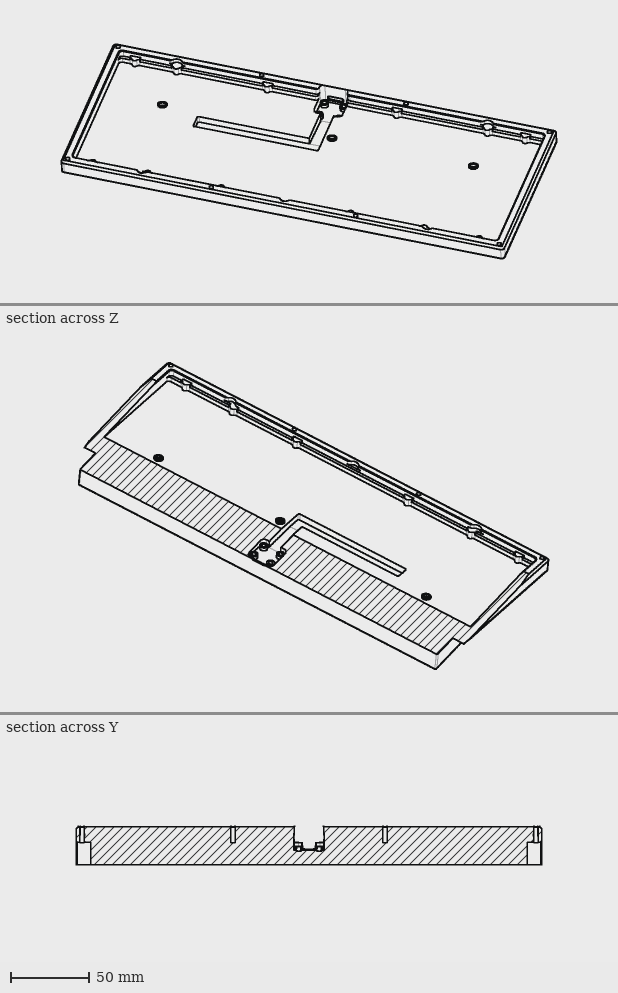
import cadquery as cq
import math

width = 298.3
length = 112.0
rim_z = 9.5
underside_z = -0.75
tilt = 8.0
corner_radius = 2.0
rim_chamfer = 1.5
underside_chamfer = 0.75

overlap = 0.5

foot_inset = 9.2
foot_corner_radius = 1.0
foot_depth = length * math.tan(math.radians(tilt)) + overlap

wall = 6.0
rim_inner_chamfer = 0.45
floor_z = 1.35
ledge_inset = 8.0
ledge_z = 4.8

post_diameter = 3.5
post_z = 6.5
post_flare = 2.0
recess_diameter = 8.0
recess_inset = 7.8
recess_flare = 3.0
back_post_xs = (-132.7, -104.7, -43.5, 43.5, 104.7, 130.0)
front_post_xs = (-130.0, -93.0, -43.5, 43.5, 93.0, 130.0)
back_recess_xs = (-104.7, 104.7)
front_recess_xs = (-96.0, 0.0, 96.0)

rim_hole_diameter = 2.7
rim_hole_inset = 3.3
corner_hole_x = width / 2 - 4.0
middle_hole_x = 48.5

floor_hole_diameter = 2.5
floor_bore_diameter = 5.0
floor_bore_depth = 2.5
floor_bore_chamfer = 0.5
floor_hole_y = 74.0
floor_hole_xs = (-104.7, 9.5, 104.7)

connector_x = 0.0
pocket_width = 19.0
pocket_front = 93.5
pocket_back = 110.7
pocket_z = -5.5
pocket_corner_radius = 2.7
pocket_flare = 1.8
boss_diameter = 5.0
boss_hole_diameter = 2.7
boss_z = -3.0
boss_hole_depth = 3.0
boss_x = 6.5
boss_ys = (96.3, 107.5)

opening_width = 10.7
opening_bottom = -3.5
opening_top = 0.0
opening_corner_radius = 1.5

channel_width = 9.0
channel_left = -79.5
channel_front = 60.5
channel_back = 69.8
channel_z = -3.5
channel_corner_radius = 1.0


def block(x_min, x_max, y_min, y_max, z_min, z_max):
    """Box given by its limits."""
    size = (x_max - x_min, y_max - y_min, z_max - z_min)
    return cq.Workplane().box(*size, centered=False).translate((x_min, y_min, z_min))


def cylinders(points, diameter, z_min, z_max):
    """Upright cylinders at the given (x, y) points."""
    return (
        cq.Workplane(origin=(0, 0, z_min)).pushPoints(points)
        .circle(diameter / 2).extrude(z_max - z_min)
    )


def flared_round(x, wall_y, inward, distance, diameter, flare_radius, behind, z_min, z_max):
    """Round standing across a straight wall, blended into it by two concave arcs.

    The round is centred at the given distance from the wall, counted along inward (+1 or -1 in Y).
    The outline closes the given distance behind the wall.
    """
    radius = diameter / 2
    reach = math.sqrt((radius + flare_radius) ** 2 - (distance - flare_radius) ** 2)
    share = radius / (radius + flare_radius)
    touch_x = reach * share
    touch_y = distance + (flare_radius - distance) * share
    mid_x = (reach + touch_x) / 2 - reach
    mid_y = touch_y / 2 - flare_radius
    scale = flare_radius / math.hypot(mid_x, mid_y)
    arc_x = reach + mid_x * scale
    arc_y = flare_radius + mid_y * scale

    def point(dx, dy):
        return (x + dx, wall_y + inward * dy)

    return (
        cq.Workplane(origin=(0, 0, z_min))
        .moveTo(*point(-reach, -behind)).lineTo(*point(-reach, 0))
        .threePointArc(point(-arc_x, arc_y), point(-touch_x, touch_y))
        .threePointArc(point(0, distance + radius), point(touch_x, touch_y))
        .threePointArc(point(arc_x, arc_y), point(reach, 0))
        .lineTo(*point(reach, -behind)).close()
        .extrude(z_max - z_min)
    )


def slab():
    """Rounded slab with chamfered rim and underside."""
    body = block(-width / 2, width / 2, 0, length, underside_z, rim_z)
    body = body.edges("|Z").fillet(corner_radius)
    body = body.faces("<Z").edges().chamfer(underside_chamfer)
    return body.faces(">Z").edges().chamfer(rim_chamfer)


def foot():
    """Block under the slab, reaching up into its floor; the desk trim turns it into a wedge."""
    half = width / 2 - foot_inset
    body = block(-half, half, 0, length, -foot_depth, floor_z - overlap)
    return body.edges("|Z and >Y").fillet(foot_corner_radius)


def cavity():
    """Space above the ledges, plus the deeper space between them down to the floor."""
    half = width / 2 - wall
    upper = block(-half, half, wall, length - wall, ledge_z, rim_z)
    lower = block(-half, half, ledge_inset, length - ledge_inset, floor_z, rim_z)
    return upper.edges("|Z").fillet(corner_radius).union(lower.edges("|Z").fillet(corner_radius))


def posts():
    """Flared posts that stand on the floor against the ledges and reach back into the wall."""
    sides = (
        (front_post_xs, ledge_inset, 1),
        (back_post_xs, length - ledge_inset, -1),
    )
    behind = ledge_inset - wall + overlap
    body = cq.Workplane()
    for xs, ledge_y, inward in sides:
        for x in xs:
            body = body.union(flared_round(
                x, ledge_y, inward, 0, post_diameter, post_flare, behind, 0, post_z,
            ))
    return body


def rim_recesses():
    """Round recesses for screw heads in the rim, open towards the cavity."""
    sides = (
        (front_recess_xs, wall, -1),
        (back_recess_xs, length - wall, 1),
    )
    body = cq.Workplane()
    for xs, wall_y, outward in sides:
        for x in xs:
            body = body.union(flared_round(
                x, wall_y, outward, wall - recess_inset, recess_diameter, recess_flare,
                overlap, post_z, rim_z,
            ))
    return body


def rim_holes():
    """Screw holes through the full thickness of the slab."""
    xs = (-corner_hole_x, -middle_hole_x, middle_hole_x, corner_hole_x)
    points = [(x, y) for x in xs for y in (rim_hole_inset, length - rim_hole_inset)]
    return cylinders(points, rim_hole_diameter, underside_z, rim_z)


def pocket_mouth(wall_y, z_min):
    """Widening of the pocket where it breaks through a wall, with convex corners."""
    half = pocket_width / 2 + pocket_flare
    mouth = block(
        connector_x - half, connector_x + half, wall_y - overlap, wall_y + pocket_flare, z_min, rim_z
    )
    corners = [(connector_x + side * half, wall_y + pocket_flare) for side in (-1, 1)]
    return mouth.cut(cylinders(corners, 2 * pocket_flare, z_min, rim_z))


def connector_pocket():
    """Pocket for the connector board, with four screw bosses and an opening in the back face."""
    half = pocket_width / 2
    pocket = block(
        connector_x - half, connector_x + half, pocket_front, pocket_back, pocket_z, rim_z
    )
    pocket = pocket.edges("|Z").fillet(pocket_corner_radius)
    pocket = pocket.union(pocket_mouth(length - wall, ledge_z))
    pocket = pocket.union(pocket_mouth(length - ledge_inset, floor_z))
    points = [(connector_x + side * boss_x, y) for side in (-1, 1) for y in boss_ys]
    pocket = pocket.cut(cylinders(points, boss_diameter, pocket_z, boss_z))
    holes = cylinders(points, boss_hole_diameter, boss_z - boss_hole_depth, boss_z)
    opening = block(
        connector_x - opening_width / 2, connector_x + opening_width / 2,
        pocket_back - overlap, length + overlap, opening_bottom, opening_top,
    )
    opening = opening.edges("|Y").fillet(opening_corner_radius)
    return pocket.union(holes).union(opening)


def cable_channel():
    """L-shaped channel in the floor whose short leg ramps down into the connector pocket."""
    right = connector_x + channel_width / 2
    long_leg = block(channel_left, right, channel_front, channel_back, channel_z, rim_z)
    long_leg = long_leg.edges("|Z").fillet(channel_corner_radius)
    start = channel_back - channel_corner_radius
    ramp = (
        cq.Workplane("YZ", origin=(right - channel_width, 0, 0))
        .polyline([
            (start, rim_z), (start, channel_z), (channel_back, channel_z),
            (pocket_front, pocket_z), (pocket_front + overlap, pocket_z),
            (pocket_front + overlap, rim_z),
        ]).close().extrude(channel_width)
    )
    return long_leg.union(ramp)


def floor_holes():
    """Counterbored screw holes, upright once the case is tilted."""
    points = [(x, 0) for x in floor_hole_xs]
    bore = cylinders(points, floor_bore_diameter, -floor_bore_depth, overlap)
    through = cylinders(points, floor_hole_diameter, -2 * foot_depth, 0)
    bore_radius = floor_bore_diameter / 2
    mouth = cq.Workplane().add(cq.Solid.makeCone(
        bore_radius, bore_radius + floor_bore_chamfer, floor_bore_chamfer,
        pnt=cq.Vector(0, 0, -floor_bore_chamfer), dir=cq.Vector(0, 0, 1),
    ))
    holes = bore.union(through)
    for x, y in points:
        holes = holes.union(mouth.translate((x, y, 0)))
    return holes.rotate((0, 0, 0), (1, 0, 0), -tilt).translate((0, floor_hole_y, floor_z))


case = slab().cut(cavity())
cavity_rim = cq.selectors.BoxSelector(
    (-width / 2 + wall - overlap, wall - overlap, rim_z - overlap),
    (width / 2 - wall + overlap, length - wall + overlap, rim_z + overlap),
)
case = case.edges(cavity_rim).edges("#Z").chamfer(rim_inner_chamfer)
case = case.union(posts()).cut(rim_recesses())
case = case.union(foot())
for cutter in (rim_holes(), connector_pocket(), cable_channel(), floor_holes()):
    case = case.cut(cutter)
case = case.rotate((0, 0, 0), (1, 0, 0), tilt)
below_desk = block(-width, width, -length, 2 * length, -4 * foot_depth, 0)
result = case.cut(below_desk)